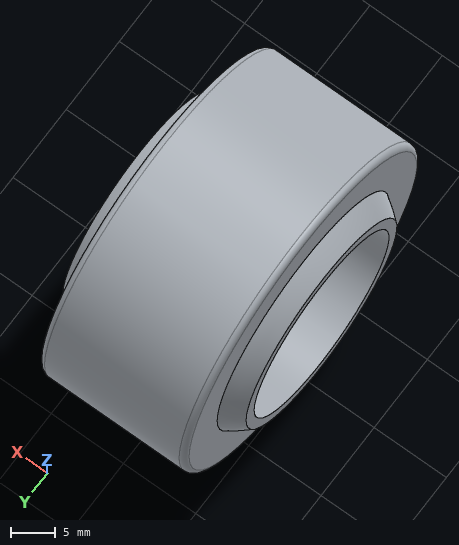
import cadquery as cq
import math

outer_diameter = 44.45
outer_width = 20.22
edge_radius = 0.8
inner_width = 25.4
bore_diameter = 25.4
ball_diameter = 38.1


def make_cylinder(diameter, width):
    """Cylinder along X, centred on the origin."""
    return cq.Workplane("YZ").workplane(offset=-width / 2).circle(diameter / 2).extrude(width)


def make_outer_ring():
    """Cylindrical outer ring with rounded rims."""
    ring = make_cylinder(outer_diameter, outer_width)
    return ring.faces("<X or >X").edges().fillet(edge_radius)


def make_ball():
    """Spherical inner ring, cut flat at both ends."""
    half_width = inner_width / 2
    ball_radius = ball_diameter / 2
    end_radius = math.sqrt(ball_radius**2 - half_width**2)
    return (
        cq.Workplane("XY")
        .moveTo(-half_width, 0)
        .lineTo(-half_width, end_radius)
        .threePointArc((0, ball_radius), (half_width, end_radius))
        .lineTo(half_width, 0)
        .close()
        .revolve(360, (0, 0, 0), (1, 0, 0))
    )


bore = make_cylinder(bore_diameter, inner_width)
result = make_outer_ring().union(make_ball()).cut(bore)